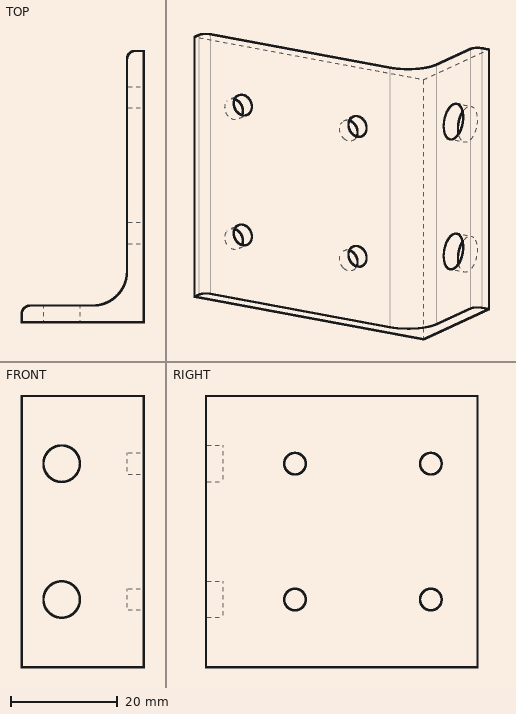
import cadquery as cq

short_leg = 22.86
long_leg = 50.8
height = 50.8
thickness = 3.175

root_radius = 6.35
toe_radius = 1.5875

hole_spacing = 25.4
short_leg_hole_diameter = 6.78
short_leg_hole_edge = 7.49
long_leg_hole_diameter = 4.0
long_leg_hole_edge = 8.74

long_leg_inner_x = short_leg - thickness
hole_heights = [height / 2 - hole_spacing / 2, height / 2 + hole_spacing / 2]
outer_hole_y = long_leg - long_leg_hole_edge
long_leg_hole_ys = [outer_hole_y - hole_spacing, outer_hole_y]


def angle_section():
    """L-shaped section with a root fillet and rounded inner toes, extruded along Z."""
    return (
        cq.Workplane("XY")
        .moveTo(0, 0)
        .lineTo(short_leg, 0)
        .lineTo(short_leg, long_leg)
        .lineTo(long_leg_inner_x + toe_radius, long_leg)
        .radiusArc((long_leg_inner_x, long_leg - toe_radius), -toe_radius)
        .lineTo(long_leg_inner_x, thickness + root_radius)
        .radiusArc((long_leg_inner_x - root_radius, thickness), root_radius)
        .lineTo(toe_radius, thickness)
        .radiusArc((0, thickness - toe_radius), -toe_radius)
        .close()
        .extrude(height)
    )


def short_leg_holes():
    """Cutters along Y through the short leg."""
    centres = [(short_leg_hole_edge, z) for z in hole_heights]
    return (
        cq.Workplane("XZ")
        .pushPoints(centres)
        .circle(short_leg_hole_diameter / 2)
        .extrude(-thickness)
    )


def long_leg_holes():
    """Cutters along X through the long leg."""
    centres = [(y, z) for y in long_leg_hole_ys for z in hole_heights]
    return (
        cq.Workplane("YZ", origin=(long_leg_inner_x, 0, 0))
        .pushPoints(centres)
        .circle(long_leg_hole_diameter / 2)
        .extrude(thickness)
    )


result = angle_section().cut(short_leg_holes()).cut(long_leg_holes())